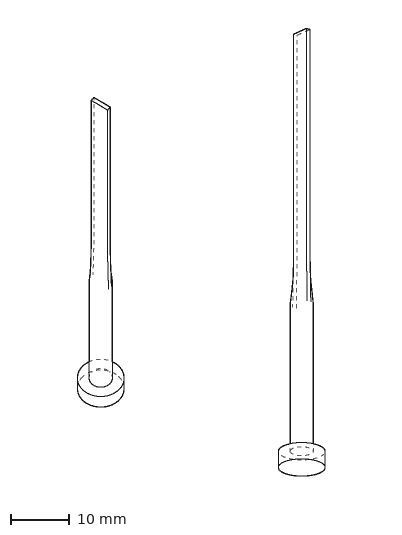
import cadquery as cq
import math

total_length = 80.0
head_diameter = 8.0
head_height = 3.0
shank_diameter = 4.0
shank_top = 30.0
blade_bottom = 40.0
blade_width = 3.5
blade_thickness = 0.8

shank_radius = shank_diameter / 2
half_width = blade_width / 2
half_thickness = blade_thickness / 2


def make_head():
    return cq.Workplane("XY").circle(head_diameter / 2).extrude(head_height)


def make_shank():
    return (
        cq.Workplane("XY")
        .workplane(offset=head_height)
        .circle(shank_radius)
        .extrude(shank_top - head_height)
    )


def shank_outline():
    """Shank circle split into four arcs, its split points level with the blade faces."""
    split_x = math.sqrt(shank_radius**2 - half_thickness**2)
    return (
        cq.Workplane("XY")
        .workplane(offset=shank_top)
        .moveTo(-split_x, -half_thickness)
        .threePointArc((0, -shank_radius), (split_x, -half_thickness))
        .threePointArc((shank_radius, 0), (split_x, half_thickness))
        .threePointArc((0, shank_radius), (-split_x, half_thickness))
        .threePointArc((-shank_radius, 0), (-split_x, -half_thickness))
        .close()
        .val()
    )


def blade_outline():
    """Blade rectangle, started at the same corner as the split shank circle."""
    return (
        cq.Workplane("XY")
        .workplane(offset=blade_bottom)
        .moveTo(-half_width, -half_thickness)
        .lineTo(half_width, -half_thickness)
        .lineTo(half_width, half_thickness)
        .lineTo(-half_width, half_thickness)
        .close()
        .val()
    )


def make_transition():
    """Taper from the round shank to the flat blade."""
    return cq.Workplane(cq.Solid.makeLoft([shank_outline(), blade_outline()], True))


def make_blade():
    return (
        cq.Workplane("XY")
        .workplane(offset=blade_bottom)
        .rect(blade_width, blade_thickness)
        .extrude(total_length - blade_bottom)
    )


result = make_head().union(make_shank()).union(make_transition()).union(make_blade())